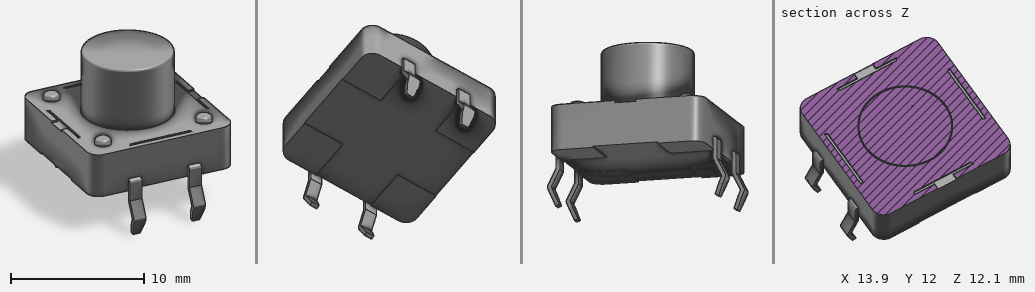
import cadquery as cq
import math


body_side = 12.0
body_height = 3.5
corner_radius = 1.0
channel_width = 5.0
channel_depth = 0.1

rim_width = 0.5
cover_depth = 0.15
notch_width = 1.62
slot_length = 5.0
slot_width = 0.2
slot_end_slant = 0.1

button_diameter = 7.0
button_hole_diameter = 7.1
button_rise = 5.0
button_edge_radius = 0.21

rivet_diameter = 1.3
rivet_height = 0.5
rivet_edge_radius = 0.39
rivet_spacing = 8.5

overall_length = 13.94
pin_spacing = 5.0
pin_width = 1.0
pin_thickness = 0.3
pin_top = 1.0
pin_bottom = -3.55
pin_bend_z = -0.72
splay_angle = math.radians(27)
return_angle = math.radians(23)
taper_top = -2.6
pin_tip_width = 0.6

half_side = body_side / 2


def make_housing():
    """Rounded square block with two crossing channels that leave four corner feet."""
    housing = (
        cq.Workplane("XY")
        .rect(body_side, body_side)
        .extrude(body_height)
        .edges("|Z")
        .fillet(corner_radius)
    )
    for length, width in ((body_side, channel_width), (channel_width, body_side)):
        housing = housing.cut(cq.Workplane("XY").rect(length, width).extrude(channel_depth))
    return housing


def make_cover_slot():
    """Cutter for the trapezoidal slot just inside the -Y rim."""
    outer_y = rim_width - half_side
    inner_y = outer_y + slot_width
    inner_x = slot_length / 2
    outer_x = inner_x + slot_end_slant
    return (
        cq.Workplane("XY", origin=(0, 0, body_height))
        .polyline([(-outer_x, outer_y), (outer_x, outer_y), (inner_x, inner_y), (-inner_x, inner_y)])
        .close()
        .extrude(-cover_depth)
    )


def make_rim_notch():
    """Cutter for the notch through the middle of the -Y rim."""
    return (
        cq.Workplane("XY", origin=(0, rim_width / 2 - half_side, body_height))
        .rect(notch_width, rim_width)
        .extrude(-cover_depth)
    )


def make_button():
    """Button standing on the floor of its clearance hole."""
    return (
        cq.Workplane("XY", origin=(0, 0, body_height - cover_depth))
        .circle(button_diameter / 2)
        .extrude(cover_depth + button_rise)
        .faces(">Z")
        .edges()
        .fillet(button_edge_radius)
    )


def make_rivets():
    """Four round-headed rivets at the corners of the cover."""
    return (
        cq.Workplane("XY", origin=(0, 0, body_height))
        .rect(rivet_spacing, rivet_spacing, forConstruction=True)
        .vertices()
        .circle(rivet_diameter / 2)
        .extrude(rivet_height)
        .faces(">Z")
        .edges()
        .fillet(rivet_edge_radius)
    )


def make_pin():
    """Bent pin on the +X wall, centred on Y = 0, with a tapered tip."""
    outer_x = half_side + pin_thickness
    inner_bend_z = pin_bend_z - pin_thickness * math.tan(splay_angle / 2)

    knee_x = overall_length / 2 - pin_thickness
    knee_z = inner_bend_z - (knee_x - half_side) / math.tan(splay_angle)

    def on_knee(angle):
        return (knee_x + pin_thickness * math.cos(angle), knee_z + pin_thickness * math.sin(angle))

    knee_end = on_knee(-return_angle)
    outer_tip = (knee_end[0] - (knee_end[1] - pin_bottom) * math.tan(return_angle), pin_bottom)
    inner_tip = (
        outer_tip[0] - pin_thickness * math.cos(return_angle),
        outer_tip[1] + pin_thickness * math.sin(return_angle),
    )

    strip = (
        cq.Workplane("XZ")
        .moveTo(half_side, pin_top)
        .radiusArc((outer_x, pin_top - pin_thickness), pin_thickness)
        .lineTo(outer_x, pin_bend_z)
        .lineTo(*on_knee(splay_angle))
        .threePointArc(on_knee(0), knee_end)
        .lineTo(*outer_tip)
        .lineTo(*inner_tip)
        .lineTo(knee_x, knee_z)
        .lineTo(half_side, inner_bend_z)
        .close()
        .extrude(pin_width / 2, both=True)
    )

    half_width = pin_width / 2
    half_tip = pin_tip_width / 2
    front_shape = (
        cq.Workplane("YZ")
        .polyline([
            (-half_width, pin_top),
            (-half_width, taper_top),
            (-half_tip, pin_bottom),
            (half_tip, pin_bottom),
            (half_width, taper_top),
            (half_width, pin_top),
        ])
        .close()
        .extrude(overall_length / 2)
    )
    return strip.intersect(front_shape)


result = make_housing()

slot = make_cover_slot()
for quarter_turn in (0, 90, 180, 270):
    result = result.cut(slot.rotate((0, 0, 0), (0, 0, 1), quarter_turn))

notch = make_rim_notch()
result = result.cut(notch).cut(notch.mirror("XZ"))

button_hole = (
    cq.Workplane("XY", origin=(0, 0, body_height))
    .circle(button_hole_diameter / 2)
    .extrude(-cover_depth)
)
result = result.cut(button_hole).union(make_button()).union(make_rivets())

pin = make_pin()
for y in (-pin_spacing / 2, pin_spacing / 2):
    placed_pin = pin.translate((0, y, 0))
    result = result.union(placed_pin).union(placed_pin.mirror("YZ"))